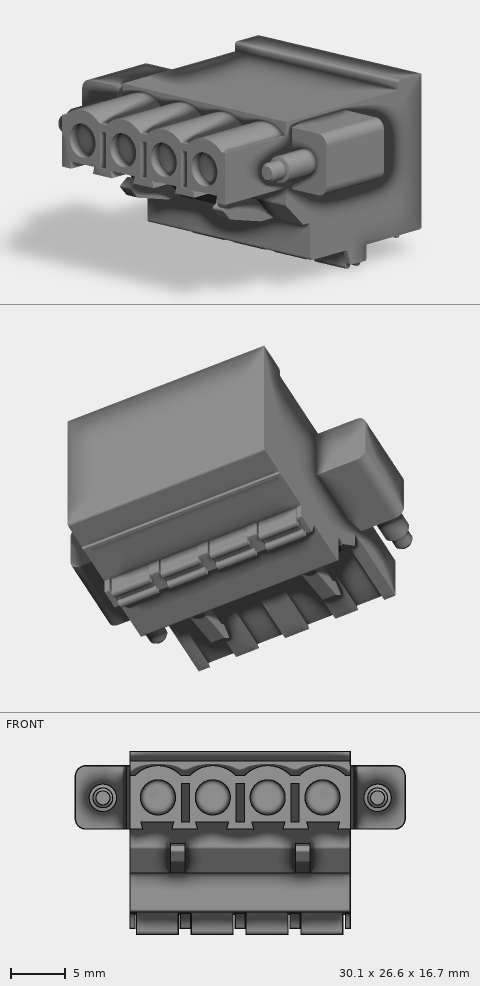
import cadquery as cq


POLE_COUNT = 4
PITCH = 5.0
AXIS_Z = 10.45
POLE_X = [(i - (POLE_COUNT - 1) / 2) * PITCH for i in range(POLE_COUNT)]
GAP_X = [(i - POLE_COUNT / 2) * PITCH for i in range(1, POLE_COUNT)]

BODY_WIDTH = 20.1
HALF_WIDTH = BODY_WIDTH / 2
BODY_DEPTH = 18.4
ROOF_Z = 13.75
LIP_TOP_Z = 14.65
LIP_DEPTH = 3.2
LIP_RADIUS = 0.3
BASE_FRONT_Y = 3.35
OVERHANG_Z = 3.57
BEVEL_DEPTH = 2.35
BEVEL_HEIGHT = 2.25
BEVEL_EDGE_RADIUS = 0.3
BASE_EDGE_RADIUS = 0.25

NOSE_LENGTH = 8.25
NOSE_BOTTOM_Z = 7.55
NOSE_SHOULDER_Z = 12.43
BARREL_RADIUS = 2.9
CONTACT_HOLE_DIAMETER = 3.2
CONTACT_HOLE_DEPTH = 1.0
SLOT_WIDTH = 0.75
SLOT_BOTTOM_Z = 8.23
SLOT_TOP_Z = 11.73
DOVETAIL_TOP_WIDTH = 3.0
DOVETAIL_MOUTH_WIDTH = 2.65
DOVETAIL_SHIFT = 0.06

FLANGE_SPAN = 30.1
FLANGE_HEIGHT = 5.8
FLANGE_DEPTH = 7.8
FLANGE_RADIUS = 1.0
RELIEF_DEPTH = 1.6
RELIEF_INNER_WIDTH = 0.3
RELIEF_MOUTH_WIDTH = 0.65
RELIEF_RADIUS = 0.2
SCREW_X = 12.52
SCREW_Z = 10.41
SCREW_RADIUS = 1.25
SCREW_LENGTH = 3.6
SCREW_SHOULDER_LENGTH = 0.1
TIP_RADIUS = 0.9
TIP_LENGTH = 1.7
TIP_CHAMFER_LENGTH = 0.3
TIP_CHAMFER_WIDTH = 0.26

HOOK_INNER_X = 5.02
HOOK_WIDTH = 1.34
HOOK_TOP_Z = 5.76
HOOK_UNDERSIDE_END_Y = 0.65
HOOK_BARB_START = (-3.0, 5.83)
HOOK_BARB_PEAK = (-3.38, 6.27)
HOOK_BARB_END = (-3.7, 6.11)
HOOK_TIP_TOP = (-4.25, 5.78)
HOOK_TIP = (-4.4, 5.62)
HOOK_TIP_BOTTOM = (-4.33, 5.42)
HOOK_CHIN_TOP = (-3.6, 4.67)
HOOK_CHIN = (-3.5, 4.59)
HOOK_CHIN_BOTTOM = (-3.38, 4.54)

RIB_WIDTH = 0.95
RIB_REAR_Y = 10.9
RIB_BOTTOM_Z = -1.5
RIB_FRONT_BOTTOM_Y = 8.72
RIB_FRONT_TOP_Y = 8.25
RIB_RADIUS = 0.18
RIB_ROOT_SIZE = 0.14
PAD_WIDTH = 3.84
PAD_SHIFT = -0.06
PAD_REAR_Y = 10.85
PAD_FRONT_Y = 8.78
PAD_BOTTOM_Z = -2.05
PAD_RAIL_WIDTH = 0.67
PAD_RADIUS = 0.3
RIDGE_REAR_Y = 15.42
RIDGE_WIDTH = 0.42
RIDGE_HEIGHT = 0.2
RIDGE_TAPER = 0.1

ROOT_OVERLAP = 0.5


def box(x0, x1, y0, y1, z0, z1):
    """Axis-aligned block between the given limits."""
    return cq.Workplane("XY").box(x1 - x0, y1 - y0, z1 - z0, centered=False).translate((x0, y0, z0))


def side_profile(x0, x1):
    """A YZ sketch plane at x0, and the length needed to extrude it to x1."""
    return cq.Workplane("YZ", origin=(x0, 0, 0)), x1 - x0


def cylinder_forward(x, start_y, radius, length):
    """Cylinder on the contact axis height, running from start_y towards -Y."""
    plane = cq.Workplane("XZ", origin=(0, start_y, 0))
    return plane.center(x, AXIS_Z).circle(radius).extrude(length)


def round_edge(part, y, z, radius):
    """Fillet the edge along X that passes through (y, z)."""
    return part.edges(cq.NearestToPointSelector((0, y, z))).fillet(radius)


def make_housing():
    """Housing block with a raised rear lip and a set-back lower part."""
    plane, length = side_profile(-HALF_WIDTH, HALF_WIDTH)
    lip_front_y = BODY_DEPTH - LIP_DEPTH
    bevel_top_z = OVERHANG_Z + BEVEL_HEIGHT
    housing = plane.polyline([
        (BODY_DEPTH, 0),
        (BODY_DEPTH, LIP_TOP_Z),
        (lip_front_y, LIP_TOP_Z),
        (lip_front_y, ROOF_Z),
        (0, ROOF_Z),
        (0, bevel_top_z),
        (BEVEL_DEPTH, OVERHANG_Z),
        (BASE_FRONT_Y, OVERHANG_Z),
        (BASE_FRONT_Y, 0),
    ]).close().extrude(length)

    housing = round_edge(housing, lip_front_y, LIP_TOP_Z, LIP_RADIUS)
    housing = round_edge(housing, 0, bevel_top_z, BEVEL_EDGE_RADIUS)
    housing = round_edge(housing, BASE_FRONT_Y, 0, BASE_EDGE_RADIUS)
    return round_edge(housing, BODY_DEPTH, 0, BASE_EDGE_RADIUS)


def make_nose():
    """Plug nose whose top follows one round barrel per pole."""
    nose = box(-HALF_WIDTH, HALF_WIDTH, -NOSE_LENGTH, ROOT_OVERLAP, NOSE_BOTTOM_Z, NOSE_SHOULDER_Z)
    for x in POLE_X:
        barrel = cylinder_forward(x, ROOT_OVERLAP, BARREL_RADIUS, NOSE_LENGTH + ROOT_OVERLAP)
        nose = nose.union(barrel)
    side_limits = box(-HALF_WIDTH, HALF_WIDTH, -NOSE_LENGTH, ROOT_OVERLAP, NOSE_BOTTOM_Z, ROOF_Z)
    return nose.intersect(side_limits)


def cut_nose_openings(part):
    """Cut the contact holes, the slots between them and the dovetails below them."""
    for x in POLE_X:
        hole_start_y = -NOSE_LENGTH + CONTACT_HOLE_DEPTH
        hole = cylinder_forward(x, hole_start_y, CONTACT_HOLE_DIAMETER / 2, CONTACT_HOLE_DEPTH)
        part = part.cut(hole).cut(make_dovetail(x))
    for x in GAP_X:
        slot = box(x - SLOT_WIDTH / 2, x + SLOT_WIDTH / 2, -NOSE_LENGTH, 0, SLOT_BOTTOM_Z, SLOT_TOP_Z)
        part = part.cut(slot)
    return part


def make_dovetail(pole_x):
    """Undercut groove below one contact, wider at its top than at its mouth."""
    x = pole_x + (DOVETAIL_SHIFT if pole_x > 0 else -DOVETAIL_SHIFT)
    return cq.Workplane("XZ").polyline([
        (x - DOVETAIL_MOUTH_WIDTH / 2, NOSE_BOTTOM_Z),
        (x - DOVETAIL_TOP_WIDTH / 2, SLOT_BOTTOM_Z),
        (x + DOVETAIL_TOP_WIDTH / 2, SLOT_BOTTOM_Z),
        (x + DOVETAIL_MOUTH_WIDTH / 2, NOSE_BOTTOM_Z),
    ]).close().extrude(NOSE_LENGTH)


def make_flange():
    """Screw flange on the +X side with its screw end."""
    outer_x = FLANGE_SPAN / 2
    bottom_z = AXIS_Z - FLANGE_HEIGHT / 2
    flange = cq.Workplane("XY", origin=(0, 0, bottom_z)).polyline([
        (HALF_WIDTH - ROOT_OVERLAP, RELIEF_DEPTH),
        (HALF_WIDTH + RELIEF_INNER_WIDTH, RELIEF_DEPTH),
        (HALF_WIDTH + RELIEF_MOUTH_WIDTH, 0),
        (outer_x, 0),
        (outer_x, FLANGE_DEPTH),
        (HALF_WIDTH - ROOT_OVERLAP, FLANGE_DEPTH),
    ]).close().extrude(FLANGE_HEIGHT)
    mouth_edge = cq.NearestToPointSelector((HALF_WIDTH + RELIEF_MOUTH_WIDTH, 0, AXIS_Z))
    flange = flange.edges(mouth_edge).fillet(RELIEF_RADIUS)
    flange = flange.faces(">X").edges("|Y").fillet(FLANGE_RADIUS)
    return flange.union(make_screw_end())


def make_screw_end():
    """Stepped, turned screw end with a chamfered tip."""
    step_y = -SCREW_LENGTH
    end_y = step_y - TIP_LENGTH
    half_section = cq.Workplane("YZ", origin=(SCREW_X, 0, SCREW_Z)).polyline([
        (ROOT_OVERLAP, 0),
        (ROOT_OVERLAP, SCREW_RADIUS),
        (step_y, SCREW_RADIUS),
        (step_y - SCREW_SHOULDER_LENGTH, TIP_RADIUS),
        (end_y + TIP_CHAMFER_LENGTH, TIP_RADIUS),
        (end_y, TIP_RADIUS - TIP_CHAMFER_WIDTH),
        (end_y, 0),
    ]).close()
    return half_section.revolve(360, (0, 0, 0), (1, 0, 0))


def make_hook():
    """Latch hook on the +X side, projecting forward from the bevel."""
    plane, length = side_profile(HOOK_INNER_X, HOOK_INNER_X + HOOK_WIDTH)
    return (
        plane.moveTo(BEVEL_DEPTH, OVERHANG_Z)
        .lineTo(BEVEL_DEPTH, HOOK_TOP_Z)
        .lineTo(0, HOOK_TOP_Z)
        .lineTo(*HOOK_BARB_START)
        .threePointArc(HOOK_BARB_PEAK, HOOK_BARB_END)
        .lineTo(*HOOK_TIP_TOP)
        .threePointArc(HOOK_TIP, HOOK_TIP_BOTTOM)
        .lineTo(*HOOK_CHIN_TOP)
        .threePointArc(HOOK_CHIN, HOOK_CHIN_BOTTOM)
        .lineTo(HOOK_UNDERSIDE_END_Y, OVERHANG_Z)
        .close()
        .extrude(length)
    )


def make_rib(x0, x1):
    """Foot rib with a vertical rear face and a sloping front face."""
    plane, length = side_profile(x0, x1)
    rib = plane.polyline([
        (RIB_REAR_Y, ROOT_OVERLAP),
        (RIB_REAR_Y, RIB_BOTTOM_Z),
        (RIB_FRONT_BOTTOM_Y, RIB_BOTTOM_Z),
        (RIB_FRONT_TOP_Y + RIB_ROOT_SIZE / 2, -RIB_ROOT_SIZE),
        (RIB_FRONT_TOP_Y - RIB_ROOT_SIZE, 0),
        (RIB_FRONT_TOP_Y - RIB_ROOT_SIZE, ROOT_OVERLAP),
    ]).close().extrude(length)
    return rib.faces("<Z").edges("|X").fillet(RIB_RADIUS)


def make_pad(pole_x):
    """Foot pad with two round-bottomed rails along X."""
    x0 = pole_x + PAD_SHIFT - PAD_WIDTH / 2
    x1 = x0 + PAD_WIDTH
    pad = box(x0, x1, PAD_FRONT_Y, PAD_REAR_Y, RIB_BOTTOM_Z, ROOT_OVERLAP)
    for y0 in (PAD_FRONT_Y, PAD_REAR_Y - PAD_RAIL_WIDTH):
        rail = box(x0, x1, y0, y0 + PAD_RAIL_WIDTH, PAD_BOTTOM_Z, 0)
        pad = pad.union(rail.faces("<Z").edges("|X").fillet(PAD_RADIUS))
    return pad


def make_ridge():
    """Low ridge across the underside near the rear."""
    plane, length = side_profile(-HALF_WIDTH, HALF_WIDTH)
    front_y = RIDGE_REAR_Y - RIDGE_WIDTH
    return plane.polyline([
        (RIDGE_REAR_Y, ROOT_OVERLAP),
        (RIDGE_REAR_Y, 0),
        (RIDGE_REAR_Y - RIDGE_TAPER, -RIDGE_HEIGHT),
        (front_y, -RIDGE_HEIGHT),
        (front_y, ROOT_OVERLAP),
    ]).close().extrude(length)


def add_underside(part):
    """Add the rear ridge, the ribs between poles and at both ends, and the pads."""
    part = part.union(make_ridge())
    for x in GAP_X:
        part = part.union(make_rib(x - RIB_WIDTH / 2, x + RIB_WIDTH / 2))
    part = part.union(make_rib(-HALF_WIDTH, -HALF_WIDTH + RIB_WIDTH / 2))
    part = part.union(make_rib(HALF_WIDTH - RIB_WIDTH / 2, HALF_WIDTH))
    for x in POLE_X:
        part = part.union(make_pad(x))
    return part


def add_mirrored(part, piece):
    """Add a +X side piece and its mirror image on the -X side."""
    return part.union(piece).union(piece.mirror("YZ"))


connector = cut_nose_openings(make_housing().union(make_nose()))
connector = add_mirrored(connector, make_flange())
connector = add_mirrored(connector, make_hook())
result = add_underside(connector)